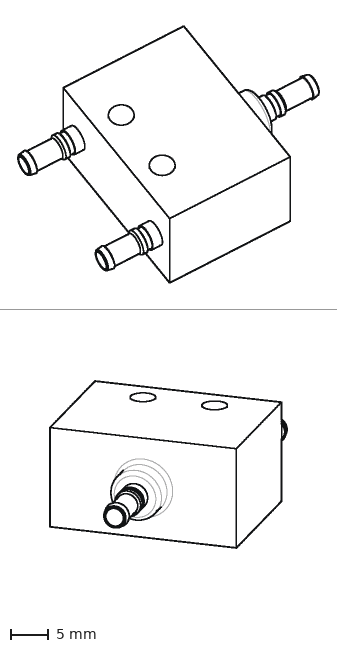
import cadquery as cq

body_width = 26.0
body_depth = 19.0
body_height = 14.0

overall_depth = 39.5

mount_diameter = 3.4
mount_spacing = 10.0
mount_edge_distance = 4.0

collar_diameter = 7.0
collar_length = 3.5
collar_round = 0.6

shoulder_diameter = 3.6
groove_diameter = 3.2
neck_diameter = 3.0
barb_diameter = 3.4
rim_diameter = 3.1
bore_diameter = 2.5
shoulder_end = 1.5
groove_end = 2.3
ring_chamfer = (shoulder_diameter - neck_diameter) / 2
ring_end = 3.28
barb_start = 7.45
tip_chamfer = 0.1
nipple_length = (overall_depth - body_depth - collar_length) / 2
nipple_spacing = 18.92


def make_nipple():
    """Barbed hose nipple on the Y axis, rooted at the origin, pointing to +Y."""
    shoulder = shoulder_diameter / 2
    groove = groove_diameter / 2
    neck = neck_diameter / 2
    barb = barb_diameter / 2
    rim = rim_diameter / 2
    bore = bore_diameter / 2
    profile = [
        (bore, 0),
        (shoulder, 0),
        (shoulder, shoulder_end),
        (groove, shoulder_end),
        (groove, groove_end),
        (shoulder, groove_end),
        (shoulder, ring_end - ring_chamfer),
        (neck, ring_end),
        (neck, barb_start),
        (barb, barb_start),
        (rim, nipple_length - tip_chamfer),
        (rim - tip_chamfer, nipple_length),
        (bore, nipple_length),
    ]
    return cq.Workplane("XY").polyline(profile).close().revolve(360, (0, 0), (0, 1))


def make_collar():
    """Collar on the Y axis with a rounded outer edge and a flared, filleted root."""
    radius = collar_diameter / 2
    return (
        cq.Workplane("XY")
        .lineTo(radius + collar_round, 0)
        .radiusArc((radius, collar_round), collar_round)
        .lineTo(radius, collar_length - collar_round)
        .radiusArc((radius - collar_round, collar_length), -collar_round)
        .lineTo(0, collar_length)
        .close()
        .revolve(360, (0, 0), (0, 1))
    )


front_face = -body_depth / 2
back_face = body_depth / 2

block = (
    cq.Workplane("XY")
    .box(body_width, body_depth, body_height)
    .faces(">Z")
    .workplane()
    .pushPoints([(side * mount_spacing / 2, front_face + mount_edge_distance) for side in (-1, 1)])
    .hole(mount_diameter)
)

result = block.union(make_collar().translate((0, back_face, 0)))
result = result.union(make_nipple().translate((0, back_face + collar_length, 0)))

front_nipple = make_nipple().rotate((0, 0, 0), (0, 0, 1), 180)
for side in (-1, 1):
    result = result.union(front_nipple.translate((side * nipple_spacing / 2, front_face, 0)))